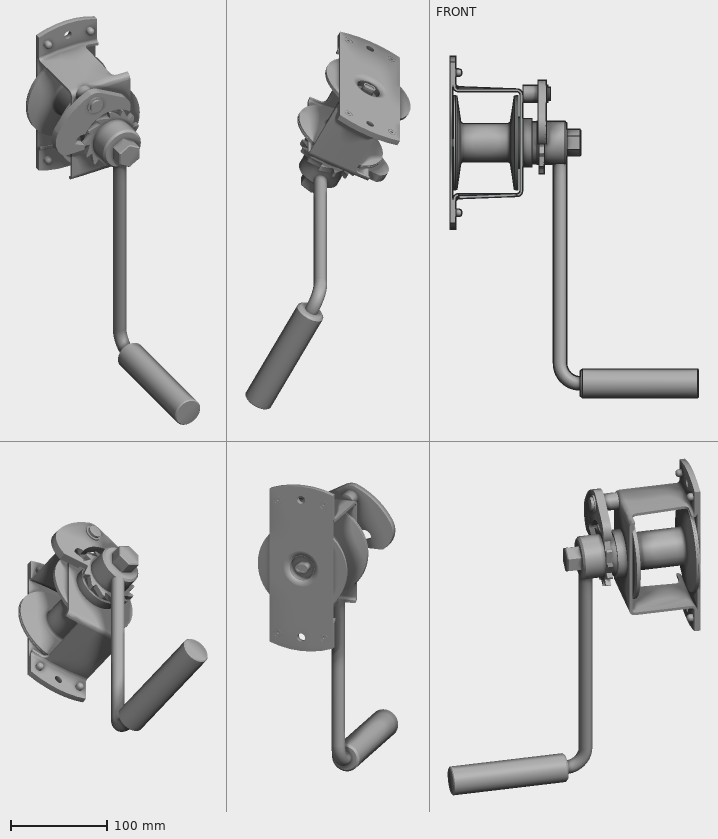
import cadquery as cq
import math


sheet = 3.0
frame_width = 69.5
frame_height = 180.0
frame_end_drop = 6.5
frame_depth = 75.5
leg_height = 55.7
leg_crown = 3.2
bend_radius = 3.0
mount_hole_dia = 9.0
mount_hole_height = 75.2
notch_side = 17.5
notch_start = 9.2
notch_corner_radius = 5.3

rivet_offset = 25.2
rivet_height = 72.7
rivet_dia = 8.0
rivet_rear_dia = 7.8
rivet_length = 6.5
rivet_rounding = 3.5
rivet_groove_dia = 9.2
rivet_groove_depth = 0.5
rivet_bore_dia = 3.0

dish_radius = 19.0
dish_throat_radius = 13.5
dish_mid_radius = 15.3
dish_mid_depth = 1.5

journal_dia = 44.0
collar_dia = 50.5
collar_end = 85.0

pin_dia = 18.0
pin_side = -21.3
pin_height = 50.7
pawl_start = 91.0
pawl_thickness = 9.0
pin_ring_thickness = 1.5
pin_end_dia = 14.0
pin_end_length = 3.0

pawl_crest_left = (-13.0, 62.8)
pawl_crest_mid = (-19.0, 65.0)
pawl_crest_right = (-25.5, 64.5)
pawl_back_mid = (-49.0, 49.5)
pawl_back_end = (-65.3, 29.5)
pawl_heel_mid = (-68.0, 18.5)
pawl_heel_end = (-57.0, -1.5)
pawl_tooth_foot = (-33.7, -1.5)
pawl_tooth_tip = (-33.5, 4.3)
pawl_pocket_start = (-44.5, 8.5)
pawl_pocket_mid = (-42.5, 15.3)
pawl_pocket_end = (-33.5, 17.5)
pawl_inner_mid = (-10.5, 35.5)
pawl_inner_end = (20.2, 28.5)
pawl_nose_mid = (21.3, 35.5)
pawl_nose_end = (13.0, 48.2)

drum_flange_radius = 49.0
drum_barrel_radius = 20.05
drum_start = 3.37
rim_thickness = 4.0
rim_step_width = 2.0
rim_step = 0.5
flange_root_width = 8.0
flange_fillet = 3.0
drum_end_rim = 70.5
drum_shoulder_radius = 26.5
journal_end = 90.0
recess_radius = 13.0
recess_floor = 10.5
shaft_end = 0.7
shaft_length_across = 13.5
shaft_height_across = 9.0
slot_length = 10.5
slot_height = 6.0
slot_depth = 1.5

hub_dia = 45.0
hub_end = 121.3
hub_chamfer = 2.0
ratchet_start = 92.2
ratchet_thickness = 5.5
ratchet_tip_radius = 32.5
ratchet_root_radius = 26.0
tooth_count = 13
tooth_land_angle = 4
tooth_phase = 205.4
nut_corner_dia = 28.0
nut_length = 14.5
nut_chamfer = 1.0
rod_dia = 14.2
rod_x = 114.2
rod_bend_radius = 21.0
grip_dia = 30.0
grip_axis_height = -249.7
grip_end = 258.0
grip_front_chamfer = 2.0
grip_end_chamfer = 1.0


def cylinder_x(x_start, length, diameter, y=0, z=0):
    """A cylinder along X."""
    return cq.Workplane("YZ", origin=(x_start, y, z)).circle(diameter / 2).extrude(length)


def rounded_plate(x_start):
    """One sheet of the frame with rounded ends."""
    half_width = frame_width / 2
    half_height = frame_height / 2
    corner = half_height - frame_end_drop
    return (
        cq.Workplane("YZ", origin=(x_start, 0, 0))
        .moveTo(-half_width, -corner)
        .threePointArc((0, -half_height), (half_width, -corner))
        .lineTo(half_width, corner)
        .threePointArc((0, half_height), (-half_width, corner))
        .close()
        .extrude(sheet)
    )


def arched_block(x_start, x_end, height, width):
    """A block along X with arched top and bottom at its start and flat ones at its end."""
    half = width / 2
    return (
        cq.Workplane("YZ", origin=(x_start, 0, 0))
        .moveTo(-half, -height)
        .threePointArc((0, -height - leg_crown), (half, -height))
        .lineTo(half, height)
        .threePointArc((0, height + leg_crown), (-half, height))
        .close()
        .workplane(offset=x_end - x_start)
        .rect(width, 2 * height)
        .loft(ruled=True, combine=True)
    )


def edges_across(x):
    """Selects the edges that run along Y on both legs near the given X."""
    reach_y = frame_width / 4
    reach_z = leg_height + 2 * leg_crown
    margin = sheet / 4
    return cq.selectors.BoxSelector((x - margin, -reach_y, -reach_z), (x + margin, reach_y, reach_z))


def bracket():
    """U-shaped sheet with two flanges against the base plate and rounded bends."""
    outer_bend = bend_radius + sheet
    outside = arched_block(sheet, frame_depth, leg_height, frame_width)
    outside = outside.faces(">X").edges("|Y").fillet(outer_bend)
    body = rounded_plate(sheet).union(outside)
    body = body.edges(edges_across(2 * sheet)).fillet(bend_radius)
    cavity = arched_block(sheet, frame_depth - sheet, leg_height - sheet, frame_width)
    cavity = cavity.faces(">X").edges("|Y").fillet(bend_radius)
    return body.cut(cavity).edges(edges_across(sheet)).fillet(outer_bend)


def leg_notch():
    """Cutter that shortens the upper leg at its +Y side."""
    length = frame_depth - bend_radius - sheet - notch_start
    width = frame_width / 2 - notch_side
    notch = cq.Workplane("XY").box(length, width, frame_height / 2, centered=False)
    notch = notch.edges("|Z and <Y").fillet(notch_corner_radius)
    return notch.translate((notch_start, notch_side, 0))


def plate_dish():
    """Cutter for the opening that narrows through the base plate."""
    return (
        cq.Workplane("XY")
        .lineTo(0, dish_radius)
        .threePointArc((dish_mid_depth, dish_mid_radius), (sheet, dish_throat_radius))
        .lineTo(sheet, 0)
        .close()
        .revolve(360, (0, 0, 0), (1, 0, 0))
    )


def add_rivet(body, y, z):
    """Add one hollow rivet whose edge shows as a shallow ring groove at the rear."""
    shank = cylinder_x(sheet, sheet + rivet_length, rivet_dia, y, z)
    shank = shank.faces(">X").edges().fillet(rivet_rounding)
    groove = cylinder_x(0, rivet_groove_depth, rivet_groove_dia, y, z).cut(
        cylinder_x(0, rivet_groove_depth, rivet_rear_dia, y, z)
    )
    bore = cylinder_x(0, 2 * sheet, rivet_bore_dia, y, z)
    return body.union(shank).cut(groove).cut(bore)


def pawl():
    """Pawl plate curving around the ratchet wheel, with a hooked tooth and its pin."""
    plate = (
        cq.Workplane("YZ", origin=(pawl_start, 0, 0))
        .moveTo(*pawl_crest_right)
        .threePointArc(pawl_back_mid, pawl_back_end)
        .threePointArc(pawl_heel_mid, pawl_heel_end)
        .lineTo(*pawl_tooth_foot)
        .lineTo(*pawl_tooth_tip)
        .lineTo(*pawl_pocket_start)
        .threePointArc(pawl_pocket_mid, pawl_pocket_end)
        .threePointArc(pawl_inner_mid, pawl_inner_end)
        .threePointArc(pawl_nose_mid, pawl_nose_end)
        .lineTo(*pawl_crest_left)
        .threePointArc(pawl_crest_mid, pawl_crest_right)
        .close()
        .extrude(pawl_thickness)
    )
    post = cylinder_x(frame_depth, pawl_start - frame_depth, pin_dia, pin_side, pin_height)
    pawl_end = pawl_start + pawl_thickness
    ring = cylinder_x(pawl_end, pin_ring_thickness, pin_dia, pin_side, pin_height)
    tip = cylinder_x(pawl_end + pin_ring_thickness, pin_end_length, pin_end_dia, pin_side, pin_height)
    return plate.union(post).union(ring).union(tip)


def make_frame():
    """Bracket on its base plate, with rivets, bearing collar and pawl."""
    upper_notch = leg_notch()
    lower_notch = upper_notch.rotate((0, 0, 0), (1, 0, 0), 180)
    body = rounded_plate(0).union(bracket()).cut(upper_notch).cut(lower_notch).cut(plate_dish())
    for side in (-1, 1):
        body = body.cut(cylinder_x(0, 2 * sheet, mount_hole_dia, 0, side * mount_hole_height))
        for end in (-1, 1):
            body = add_rivet(body, side * rivet_offset, end * rivet_height)
    body = body.union(cylinder_x(frame_depth, collar_end - frame_depth, collar_dia))
    body = body.cut(cylinder_x(frame_depth - sheet, collar_end - frame_depth + sheet, journal_dia))
    return body.union(pawl())


def shaft_stub():
    """Flattened shaft end with a shallow slot, standing in the rear recess of the drum."""
    stub = (
        cq.Workplane("YZ", origin=(shaft_end, 0, 0))
        .slot2D(shaft_length_across, shaft_height_across)
        .extrude(recess_floor - shaft_end)
    )
    slot = cq.Workplane("YZ", origin=(shaft_end, 0, 0)).slot2D(slot_length, slot_height).extrude(slot_depth)
    return stub.cut(slot)


def make_drum():
    """Barrel between two tapered flanges, with a shoulder and a journal at the front."""
    rear_root = drum_start + flange_root_width
    front_root = drum_end_rim - flange_root_width
    stepped_radius = drum_flange_radius - rim_step
    profile = [
        (drum_start, 0),
        (drum_start, drum_flange_radius),
        (drum_start + rim_step_width, drum_flange_radius),
        (drum_start + rim_step_width, stepped_radius),
        (drum_start + rim_thickness, stepped_radius),
        (rear_root, drum_barrel_radius),
        (front_root, drum_barrel_radius),
        (drum_end_rim - rim_thickness, stepped_radius),
        (drum_end_rim - rim_step_width, stepped_radius),
        (drum_end_rim - rim_step_width, drum_flange_radius),
        (drum_end_rim, drum_flange_radius),
        (drum_end_rim, drum_shoulder_radius),
        (frame_depth - sheet, drum_shoulder_radius),
        (frame_depth - sheet, journal_dia / 2),
        (journal_end, journal_dia / 2),
        (journal_end, 0),
    ]
    body = cq.Workplane("XY").polyline(profile).close().revolve(360, (0, 0, 0), (1, 0, 0))
    root_zone = cq.selectors.BoxSelector(
        (rear_root - flange_fillet, -drum_barrel_radius, -drum_barrel_radius),
        (front_root + flange_fillet, drum_barrel_radius, drum_barrel_radius),
    )
    body = body.edges("%CIRCLE").edges(root_zone).fillet(flange_fillet)
    body = body.cut(cylinder_x(drum_start, recess_floor - drum_start, 2 * recess_radius))
    return body.union(shaft_stub())


def ratchet_wheel():
    """Saw-toothed wheel with a short land on each tooth."""

    def polar(radius, degrees):
        angle = math.radians(degrees)
        return (radius * math.cos(angle), radius * math.sin(angle))

    pitch = 360 / tooth_count
    outline = []
    for tooth in range(tooth_count):
        root = tooth_phase + tooth * pitch
        outline.append(polar(ratchet_root_radius, root))
        outline.append(polar(ratchet_tip_radius, root + pitch - tooth_land_angle))
        outline.append(polar(ratchet_tip_radius, root + pitch))
    return cq.Workplane("YZ", origin=(ratchet_start, 0, 0)).polyline(outline).close().extrude(ratchet_thickness)


def crank_nut():
    """Hexagon nut with two corners on the vertical centre plane."""
    return (
        cq.Workplane("YZ", origin=(hub_end, 0, 0))
        .transformed(rotate=(0, 0, 90))
        .polygon(6, nut_corner_dia)
        .extrude(nut_length)
        .faces(">X")
        .edges()
        .chamfer(nut_chamfer)
    )


def crank_rod():
    """Round rod that runs down from the hub and bends towards the grip."""
    bend_top = grip_axis_height + rod_bend_radius
    diagonal = rod_bend_radius * math.sqrt(0.5)
    path = (
        cq.Workplane("XZ")
        .moveTo(rod_x, 0)
        .lineTo(rod_x, bend_top)
        .threePointArc(
            (rod_x + rod_bend_radius - diagonal, bend_top - diagonal),
            (rod_x + rod_bend_radius, grip_axis_height),
        )
    )
    return cq.Workplane("XY", origin=(rod_x, 0, 0)).circle(rod_dia / 2).sweep(path)


def crank_grip():
    """Cylindrical grip with chamfered ends."""
    grip_start = rod_x + rod_bend_radius
    grip = cylinder_x(grip_start, grip_end - grip_start, grip_dia, 0, grip_axis_height)
    grip = grip.faces("<X").edges().chamfer(grip_front_chamfer)
    return grip.faces(">X").edges().chamfer(grip_end_chamfer)


def make_crank():
    """Hub with ratchet wheel, nut, rod and grip."""
    hub = cylinder_x(journal_end, hub_end - journal_end, hub_dia)
    hub = hub.faces(">X").edges().chamfer(hub_chamfer)
    return hub.union(ratchet_wheel()).union(crank_nut()).union(crank_rod()).union(crank_grip())


frame = make_frame()
drum = make_drum()
crank = make_crank()

result = cq.Compound.makeCompound([frame.val(), drum.val(), crank.val()])